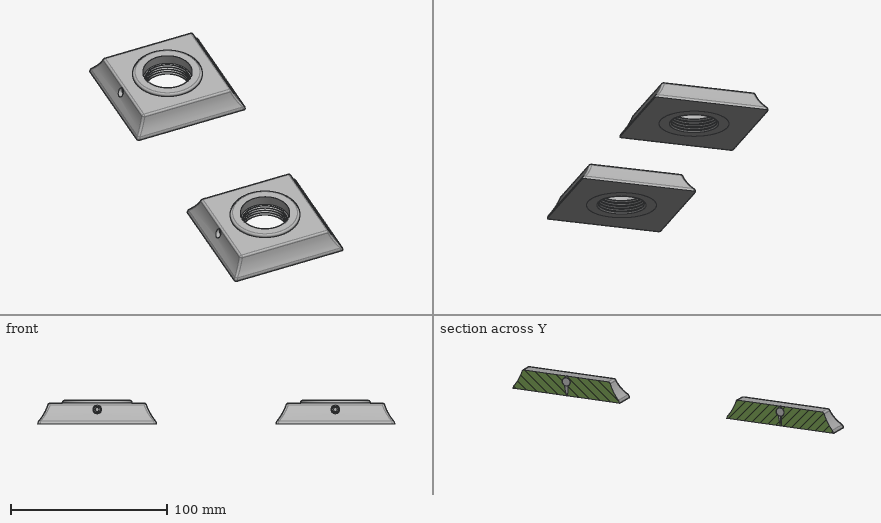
import cadquery as cq
import math

TOTAL_LENGTH = 228.5
BASE_WIDTH = 76.1
BASE_HALF = BASE_WIDTH / 2
CENTER_X = TOTAL_LENGTH / 2 - BASE_HALF

COVER_HEIGHT = 13.5
TOP_INSET = 6.9
FOOT_RADIUS = 3.2
FOOT_ANGLE = math.radians(40)
COVER_EDGE_RADIUS = 1.5

BUSH_HEIGHT = 15.3
BUSH_RADIUS = 22.5
BUSH_RIM_RADIUS = 1.5
BORE_RADIUS = 15.8
CREST_RADIUS = 14.6
THREAD_LENGTH = 8.7
CREST_COUNT = 5
THREAD_PITCH = THREAD_LENGTH / (CREST_COUNT - 0.5)
CREST_WIDTH = THREAD_PITCH / 8
ROOT_WIDTH = CREST_WIDTH

SCREW_RADIUS = 2.7
SCREW_Z = 9.4
SCREW_LENGTH = 8.7
SCREW_CHAMFER = 0.7
SOCKET_FLATS = 2.3
SOCKET_DEPTH = 2.7
SOCKET_DIAMETER = SOCKET_FLATS / math.cos(math.pi / 6)


def foot_point(angle):
    """Point (half width, height) on the rounded foot, at an angle measured up from the base."""
    half_width = BASE_HALF - FOOT_RADIUS * (1 - math.cos(angle))
    height = FOOT_RADIUS * math.sin(angle)
    return half_width, height


def flanked_bar(plane):
    """Bar as long as it is wide, with the cover's section drawn in the given vertical plane."""
    half_bar = (
        cq.Workplane(plane)
        .lineTo(BASE_HALF, 0)
        .threePointArc(foot_point(FOOT_ANGLE / 2), foot_point(FOOT_ANGLE))
        .tangentArcPoint((BASE_HALF - TOP_INSET, COVER_HEIGHT), relative=False)
        .lineTo(0, COVER_HEIGHT)
        .close()
        .extrude(BASE_HALF, both=True)
    )
    return half_bar.union(half_bar.rotate((0, 0, 0), (0, 0, 1), 180))


def screw_cylinder(y_start, length):
    """Cylinder of the screw's radius, running toward -Y from y_start."""
    return cq.Workplane("XZ", origin=(0, y_start, SCREW_Z)).circle(SCREW_RADIUS).extrude(length)


def make_cover():
    block = flanked_bar("XZ").intersect(flanked_bar("YZ"))
    top_edges = block.edges(">Z")
    mitre_edges = block.edges("not #Z")
    block = mitre_edges.add(top_edges).fillet(COVER_EDGE_RADIUS)

    bush_seat = cq.Workplane("XY").circle(BUSH_RADIUS).extrude(COVER_HEIGHT)
    screw_hole = screw_cylinder(0, BASE_HALF)
    return block.cut(bush_seat).cut(screw_hole)


def make_threaded_bore():
    """Space inside the bush: annular thread crests at the bottom, a plain cylinder above."""
    profile = cq.Workplane("XZ").lineTo(BORE_RADIUS, 0)
    for turn in range(CREST_COUNT):
        crest_z = (turn + 0.5) * THREAD_PITCH
        root_z = crest_z + THREAD_PITCH / 2
        profile = profile.lineTo(CREST_RADIUS, crest_z - CREST_WIDTH / 2)
        profile = profile.lineTo(CREST_RADIUS, crest_z + CREST_WIDTH / 2)
        if turn < CREST_COUNT - 1:
            profile = profile.lineTo(BORE_RADIUS, root_z - ROOT_WIDTH / 2)
            profile = profile.lineTo(BORE_RADIUS, root_z + ROOT_WIDTH / 2)
    profile = profile.lineTo(BORE_RADIUS, THREAD_LENGTH + CREST_WIDTH)
    profile = profile.lineTo(BORE_RADIUS, BUSH_HEIGHT).lineTo(0, BUSH_HEIGHT)
    return profile.close().revolve()


def make_bush():
    ring = cq.Workplane("XY").circle(BUSH_RADIUS).extrude(BUSH_HEIGHT)
    ring = ring.faces(">Z").edges().fillet(BUSH_RIM_RADIUS)
    return ring.cut(make_threaded_bore())


def make_set_screw():
    inner_y = -BUSH_RADIUS
    screw = screw_cylinder(inner_y, SCREW_LENGTH).faces("<Y").chamfer(SCREW_CHAMFER)
    return screw.faces("<Y").workplane().polygon(6, SOCKET_DIAMETER).cutBlind(-SOCKET_DEPTH)


bodies = []
for center_x in (-CENTER_X, CENTER_X):
    for body in (make_cover(), make_bush(), make_set_screw()):
        bodies.append(body.translate((center_x, 0, 0)).val())

result = cq.Compound.makeCompound(bodies)